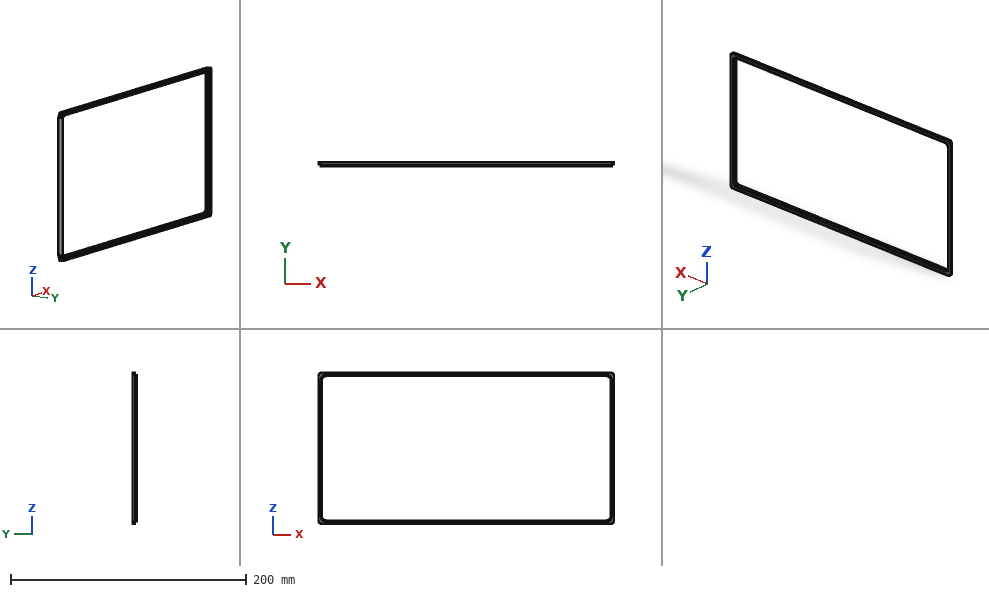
import cadquery as cq

length = 251.5
height = 128.5
depth = 4.0
flange_thickness = 2.0
flange_radius = 2.8

step = 2.0
lip_wall = 1.0
lip_radius = 4.0
opening_radius = lip_radius - lip_wall


def rounded_plate(inset, radius, y_front, y_back):
    """Plate standing in the XZ plane, inset from the outer edge, with rounded corners."""
    thickness = y_back - y_front
    return (
        cq.Workplane("XY")
        .box(length - 2 * inset, thickness, height - 2 * inset)
        .edges("|Y")
        .fillet(radius)
        .translate((0, (y_front + y_back) / 2, 0))
    )


front = -depth / 2
back = depth / 2
flange_front = back - flange_thickness

flange = rounded_plate(0, flange_radius, flange_front, back)
lip = rounded_plate(step, lip_radius, front, back)
opening = rounded_plate(step + lip_wall, opening_radius, front, back)

result = flange.union(lip).cut(opening)